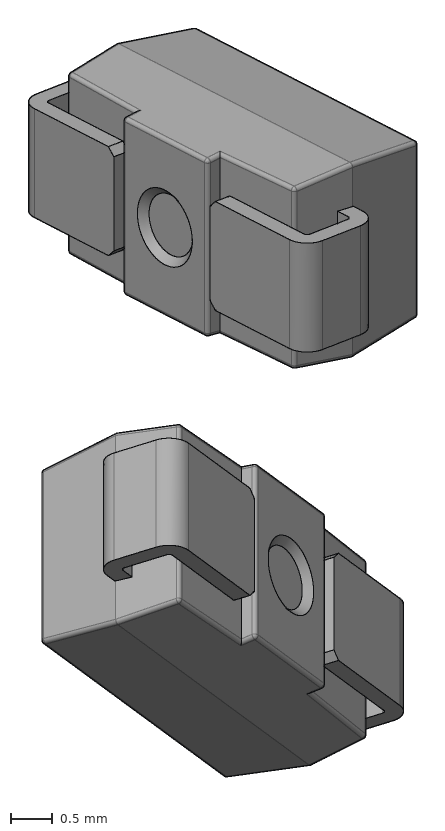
import cadquery as cq
import math


total_length = 5.2
half_depth = 1.15

body_length = 4.3
body_width = 2.6
draft = 6.0
edge_radius = 0.05
pad_front = 1.1
pad_length = 1.545
shoulder_depth = 0.9
shoulder_slope = 2.1

recess_rim_radius = 0.5
recess_floor_radius = 0.4
recess_depth = 0.1

lead_width = 1.455
lead_thickness = 0.23
bend_radius = 0.28
lead_back = 0.01
foot_end = 0.875
foot_chamfer = 0.1


def round_all_but_parting(half):
    """Fillet the convex edges of a body half, leaving the parting face and inner corners sharp."""
    parting_edges = cq.selectors.BoxSelector(
        (-body_length, -edge_radius / 2, -body_width),
        (body_length, edge_radius / 2, body_width),
    )
    inner_corners = cq.selectors.BoxSelector(
        (-pad_length, -shoulder_depth - edge_radius / 2, -edge_radius),
        (pad_length, -shoulder_depth + edge_radius / 2, edge_radius),
    )
    return half.edges(cq.selectors.SubtractSelector(
        cq.selectors.InverseSelector(parting_edges), inner_corners
    )).fillet(edge_radius)


def make_back_half():
    block = cq.Workplane("ZX").rect(body_width, body_length).extrude(half_depth, taper=draft)
    return round_all_but_parting(block)


def make_shoulder_cut(side):
    """Space cleared on one side of the pad, with a slightly sloping floor."""
    pad_edge = pad_length / 2
    body_end = body_length / 2
    end_depth = shoulder_depth - (body_end - pad_edge) * math.tan(math.radians(shoulder_slope))
    return (
        cq.Workplane("XY")
        .moveTo(side * pad_edge, -shoulder_depth)
        .lineTo(side * body_end, -end_depth)
        .lineTo(side * body_end, -half_depth)
        .lineTo(side * pad_edge, -half_depth)
        .close()
        .extrude(body_width / 2, both=True)
    )


def make_front_half():
    block = cq.Workplane("XZ").rect(body_length, body_width).extrude(pad_front, taper=draft)
    for side in (-1, 1):
        block = block.cut(make_shoulder_cut(side))
    return round_all_but_parting(block)


def make_recess():
    """Conical dish that narrows from the pad face to its flat floor."""
    return (
        cq.Workplane("XZ", origin=(0, -pad_front, 0))
        .circle(recess_rim_radius)
        .workplane(offset=-recess_depth)
        .circle(recess_floor_radius)
        .loft(ruled=True)
    )


def make_body():
    return make_back_half().union(make_front_half()).cut(make_recess())


def make_lead(side, body):
    """C-shaped strip that leaves the body's end face and folds across its front."""
    outer_end = total_length / 2
    inner_end = outer_end - lead_thickness
    arm_start = body_length / 2 - lead_thickness
    strip = (
        cq.Workplane("XY")
        .moveTo(side * arm_start, lead_back)
        .lineTo(side * outer_end, lead_back)
        .lineTo(side * outer_end, -half_depth)
        .lineTo(side * foot_end, -half_depth)
        .lineTo(side * foot_end, -half_depth + lead_thickness)
        .lineTo(side * inner_end, -half_depth + lead_thickness)
        .lineTo(side * inner_end, lead_back - lead_thickness)
        .lineTo(side * arm_start, lead_back - lead_thickness)
        .close()
        .extrude(lead_width / 2, both=True)
    )
    outward = ">X" if side > 0 else "<X"
    inward = "<X" if side > 0 else ">X"
    strip = strip.faces(outward).edges("|Z").fillet(bend_radius)
    inner_bends = cq.selectors.BoxSelector(
        (side * inner_end - edge_radius / 2, -half_depth, -edge_radius),
        (side * inner_end + edge_radius / 2, lead_back, edge_radius),
    )
    strip = strip.edges("|Z").edges(inner_bends).fillet(bend_radius - lead_thickness)
    strip = strip.faces(inward).edges("|Y").chamfer(foot_chamfer)
    return strip.cut(body)


body = make_body()
leads = [make_lead(side, body) for side in (-1, 1)]

result = cq.Compound.makeCompound([body.val(), *[lead.val() for lead in leads]])